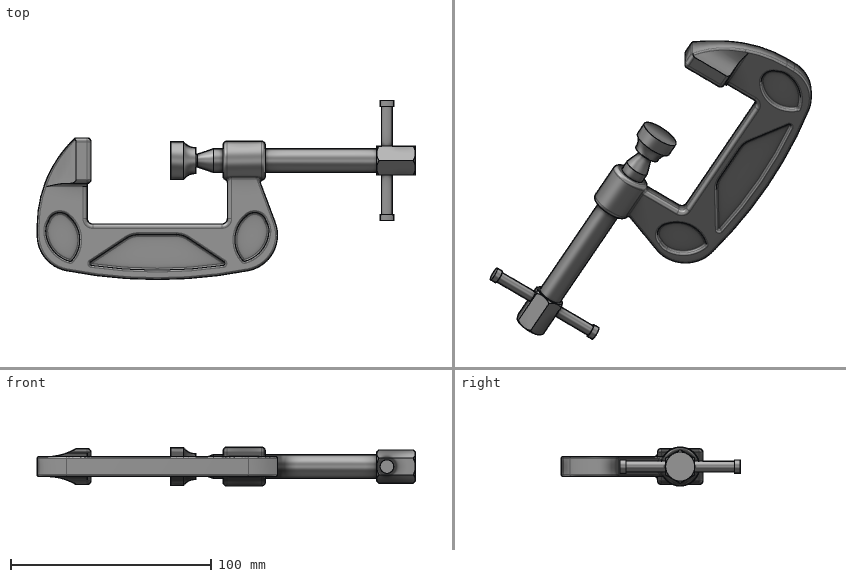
import cadquery as cq
import math


frame_width = 120.0
frame_thickness = 10.0
frame_bottom = -59.4
half_thickness = frame_thickness / 2
mid_x = frame_width / 2
throat_left = 25.1
throat_right = frame_width - throat_left
throat_bottom = -31.6
throat_corner_radius = 2.7
throat_edge_radius = 2.2
outer_edge_radius = 1.0
corner_radius = 18.1
corner_center_y = -37.2
back_radius = 60.4
back_start_y = -32.7
column_top_x = 107.3

keel_drop = corner_center_y - frame_bottom
keel_half_span = mid_x - corner_radius
keel_radius = (keel_half_span**2 + keel_drop**2 - corner_radius**2) / (2 * (keel_drop - corner_radius))
keel_center_y = frame_bottom + keel_radius
keel_half_sweep = math.asin(keel_half_span / (keel_radius - corner_radius))

jaw_face_x = 26.95
jaw_half_height = 11.4
jaw_half_depth = 9.0
jaw_edge_radius = 2.0
jaw_root_radius = 1.5
taper_start_x = 5.0
taper_end_x = 19.5

boss_start_x = 92.8
boss_end_x = 113.9
boss_diameter = 19.5
boss_edge_radius = 2.0
boss_root_radius = 1.3

pocket_depth = 2.0
pocket_edge_radius = 0.95
pocket_wall_inset = 1.0
trapezoid_top = -35.9
trapezoid_top_half = 13.0
trapezoid_slope = math.radians(33.5)
trapezoid_keel_margin = 3.7
trapezoid_shoulder_radius = 10.5
trapezoid_toe_radius = 1.0

egg_shoulder_left = (4.75, -29.9)
egg_crown = (11.5, -24.9)
egg_shoulder_right = (16.3, -26.9)
egg_right_bulge = (22.3, -39.9)
egg_toe_right = (18.2, -50.4)
egg_toe_tip = (17.4, -51.1)
egg_toe_left = (15.9, -51.2)
egg_lower_bulge = (8.9, -47.3)
egg_side = (3.3, -35.1)
egg_side_bulge = (3.7, -32.3)

screw_diameter = 12.0
screw_tip_x = 79.2
neck_end_x = 80.0
cone_end_x = 88.1
neck_diameter = 6.5
head_start_x = 169.5
head_end_x = 188.8
head_across_flats = 14.5
head_across_corners = head_across_flats / math.cos(math.pi / 6)
head_chamfer = (head_across_corners - head_across_flats) / 2

pad_face_x = 66.6
pad_rim_end_x = 73.0
pad_diameter = 19.0
pad_back_diameter = 13.0
pad_neck_x = 75.4
pad_neck_radius = 7.4

handle_x = 174.6
handle_length = 60.0
handle_diameter = 5.5
handle_cap_diameter = 6.8
handle_cap_length = 3.0

tolerance = 0.01


def polar(center_x, center_y, radius, angle):
    return (center_x + radius * math.cos(angle), center_y + radius * math.sin(angle))


def x_cylinder(diameter, start_x, end_x):
    return cq.Workplane("YZ").workplane(offset=start_x).circle(diameter / 2).extrude(end_x - start_x)


def y_cylinder(diameter, center_x, start_y, end_y):
    return (
        cq.Workplane("XZ", origin=(center_x, start_y, 0))
        .circle(diameter / 2)
        .extrude(start_y - end_y)
    )


def back_point(y):
    """Point at height y on the outer curve that rises to the jaw."""
    angle = math.pi - math.asin((y - back_start_y) / back_radius)
    return polar(back_radius, back_start_y, back_radius, angle)


def left_corner_point(angle):
    return polar(corner_radius, corner_center_y, corner_radius, angle)


def right_corner_point(angle):
    return polar(frame_width - corner_radius, corner_center_y, corner_radius, angle)


def plate():
    left_keel_angle = -math.pi / 2 - keel_half_sweep
    right_keel_angle = -math.pi / 2 + keel_half_sweep

    slope_run = column_top_x - (frame_width - corner_radius)
    slope_rise = -corner_center_y
    slope_distance = math.hypot(slope_run, slope_rise)
    slope_angle = math.atan2(slope_rise, slope_run) - math.acos(corner_radius / slope_distance)

    left_mid_angle = (left_keel_angle - math.pi) / 2
    right_mid_angle = (right_keel_angle + slope_angle) / 2

    body = (
        cq.Workplane("XY").workplane(offset=-half_thickness)
        .moveTo(0, back_start_y)
        .lineTo(0, corner_center_y)
        .threePointArc(left_corner_point(left_mid_angle), left_corner_point(left_keel_angle))
        .threePointArc((mid_x, frame_bottom), right_corner_point(right_keel_angle))
        .threePointArc(right_corner_point(right_mid_angle), right_corner_point(slope_angle))
        .lineTo(column_top_x, 0)
        .lineTo(throat_right, 0)
        .lineTo(throat_right, throat_bottom)
        .lineTo(throat_left, throat_bottom)
        .lineTo(throat_left, jaw_half_height)
        .lineTo(*back_point(jaw_half_height))
        .threePointArc(back_point((back_start_y + jaw_half_height) / 2), (0, back_start_y))
        .close()
        .extrude(frame_thickness)
    )
    throat_corners = cq.selectors.BoxSelector(
        (throat_left - tolerance, throat_bottom - tolerance, -half_thickness),
        (throat_right + tolerance, throat_bottom + tolerance, half_thickness),
    )
    return body.edges("|Z").edges(throat_corners).fillet(throat_corner_radius)


def jaw_block():
    block = (
        cq.Workplane("XY").workplane(offset=-jaw_half_depth)
        .moveTo(*back_point(-jaw_half_height))
        .lineTo(jaw_face_x, -jaw_half_height)
        .lineTo(jaw_face_x, jaw_half_height)
        .lineTo(*back_point(jaw_half_height))
        .threePointArc(back_point(0), back_point(-jaw_half_height))
        .close()
        .extrude(2 * jaw_half_depth)
    )
    return block.edges("|X or >X").fillet(jaw_edge_radius)


def jaw_root():
    """Concave fillets between the lower side of the jaw and both plate faces."""
    root_y = -jaw_half_height - jaw_root_radius
    root_z = half_thickness + jaw_root_radius
    strip = (
        cq.Workplane("YZ").workplane(offset=taper_start_x)
        .moveTo(root_y, half_thickness)
        .threePointArc(polar(root_y, root_z, jaw_root_radius, -math.pi / 4), (-jaw_half_height, root_z))
        .lineTo(-jaw_half_height, 0)
        .lineTo(root_y, 0)
        .close()
        .extrude(throat_left - taper_start_x)
    )
    return strip.union(strip.mirror("XY"))


def taper_waste():
    """Material removed outside the concave tapers that blend the jaw into the plate faces."""
    run = taper_end_x - taper_start_x
    rise = jaw_half_depth - half_thickness
    taper_radius = (run**2 + rise**2) / (2 * rise)
    half_sweep = math.atan2(rise, run)
    taper_mid = polar(taper_start_x, half_thickness + taper_radius, taper_radius, half_sweep - math.pi / 2)
    clear_x = -1.0
    clear_z = 2 * jaw_half_depth
    above = (
        cq.Workplane("XZ")
        .moveTo(clear_x, half_thickness)
        .lineTo(taper_start_x, half_thickness)
        .threePointArc(taper_mid, (taper_end_x, jaw_half_depth))
        .lineTo(taper_end_x, clear_z)
        .lineTo(clear_x, clear_z)
        .close()
        .extrude(2 * jaw_half_height, both=True)
    )
    return above.union(above.mirror("XY"))


def jaw():
    return jaw_block().union(jaw_root()).cut(taper_waste())


def round_throat(body):
    """Round the edges along the inside of the C on both faces."""
    edges = []
    for face_z in (-half_thickness, half_thickness):
        box = cq.selectors.BoxSelector(
            (throat_left - tolerance, throat_bottom - tolerance, face_z - tolerance),
            (throat_right + tolerance, 0, face_z + tolerance),
        )
        edges += body.edges(box).vals()
    return body.newObject(edges).fillet(throat_edge_radius)


def is_outline_edge(edge):
    """True for the edges that the outer curve and the sloped side make with the faces."""
    middle = edge.positionAt(0.5)
    from_back_center = math.hypot(middle.x - back_radius, middle.y - back_start_y)
    on_face = abs(middle.z) > half_thickness - tolerance
    on_back = middle.x < taper_end_x and abs(from_back_center - back_radius) < tolerance
    on_left_side = middle.x < tolerance
    below_corner_centers = middle.y < corner_center_y
    on_slope = middle.x > column_top_x and middle.y < -boss_diameter / 2
    return on_face and (on_back or on_left_side or below_corner_centers or on_slope)


def round_outline(body):
    edges = [edge for edge in body.edges().vals() if is_outline_edge(edge)]
    return body.newObject(edges).fillet(outer_edge_radius)


def blend_boss_root(body):
    """Concave fillet all round the joint between the boss and the column below it."""
    joint_top_y = -math.sqrt((boss_diameter / 2)**2 - half_thickness**2)
    box = cq.selectors.BoxSelector(
        (throat_right - tolerance, -boss_diameter / 2 - tolerance, -half_thickness - tolerance),
        (boss_end_x, joint_top_y + tolerance, half_thickness + tolerance),
    )
    return body.edges(box).fillet(boss_root_radius)


def trapezoid_pocket():
    """Centre pocket; its lower wall runs parallel to the keel."""
    lower_radius = keel_radius - trapezoid_keel_margin
    cosine = math.cos(trapezoid_slope)
    sine = math.sin(trapezoid_slope)

    top_above_center = trapezoid_top - keel_center_y
    along = trapezoid_top_half * cosine - top_above_center * sine
    beyond = lower_radius**2 - trapezoid_top_half**2 - top_above_center**2
    side_length = math.sqrt(along**2 + beyond) - along
    toe_half = trapezoid_top_half + side_length * cosine
    toe_y = trapezoid_top - side_length * sine

    pocket = (
        cq.Workplane("XY")
        .moveTo(mid_x - trapezoid_top_half, trapezoid_top)
        .lineTo(mid_x + trapezoid_top_half, trapezoid_top)
        .lineTo(mid_x + toe_half, toe_y)
        .threePointArc((mid_x, keel_center_y - lower_radius), (mid_x - toe_half, toe_y))
        .close()
        .offset2D(-pocket_wall_inset, "intersection")
        .extrude(-pocket_depth)
    )
    pocket = pocket.edges("|Z").edges(">Y").fillet(trapezoid_shoulder_radius)
    return pocket.edges("|Z").edges("<X or >X").fillet(trapezoid_toe_radius)


def egg_pocket():
    return (
        cq.Workplane("XY")
        .moveTo(*egg_shoulder_left)
        .threePointArc(egg_crown, egg_shoulder_right)
        .threePointArc(egg_right_bulge, egg_toe_right)
        .threePointArc(egg_toe_tip, egg_toe_left)
        .threePointArc(egg_lower_bulge, egg_side)
        .threePointArc(egg_side_bulge, egg_shoulder_left)
        .close()
        .offset2D(-pocket_wall_inset)
        .extrude(-pocket_depth)
    )


def cut_pockets(body):
    left_egg = egg_pocket()
    right_egg = left_egg.mirror("YZ").translate((frame_width, 0, 0))
    for pocket in (trapezoid_pocket(), left_egg, right_egg):
        tool = pocket.faces("<Z").edges().fillet(pocket_edge_radius).translate((0, 0, half_thickness))
        body = body.cut(tool).cut(tool.mirror("XY"))

    rims = []
    for face in body.faces("|Z").vals():
        if abs(abs(face.Center().z) - half_thickness) < tolerance:
            for wire in face.innerWires():
                rims += wire.Edges()
    return body.newObject(rims).fillet(pocket_edge_radius)


def frame():
    boss = x_cylinder(boss_diameter, boss_start_x, boss_end_x)
    boss = boss.faces("<X or >X").edges().fillet(boss_edge_radius)
    body = round_throat(plate().union(boss))
    body = round_outline(body.union(jaw()))
    body = blend_boss_root(body)
    body = cut_pockets(body)
    return body.cut(x_cylinder(screw_diameter, boss_start_x, boss_end_x))


def screw():
    shank = (
        cq.Workplane("XZ")
        .moveTo(screw_tip_x, 0)
        .lineTo(screw_tip_x, neck_diameter / 2)
        .lineTo(neck_end_x, neck_diameter / 2)
        .lineTo(cone_end_x, screw_diameter / 2)
        .lineTo(head_start_x, screw_diameter / 2)
        .lineTo(head_start_x, 0)
        .close()
        .revolve(360, (0, 0, 0), (1, 0, 0))
    )
    hexagon = (
        cq.Workplane("YZ").workplane(offset=head_start_x)
        .transformed(rotate=(0, 0, 30))
        .polygon(6, head_across_corners)
        .extrude(head_end_x - head_start_x)
    )
    trim = x_cylinder(head_across_corners, head_start_x, head_end_x)
    trim = trim.faces("<X or >X").edges().chamfer(head_chamfer)
    handle_hole = y_cylinder(handle_diameter, handle_x, -head_across_flats, head_across_flats)
    return shank.union(hexagon.intersect(trim)).cut(handle_hole)


def pad():
    """Disc with a hollowed neck behind its rim; its back rests on the tip of the screw."""
    return (
        cq.Workplane("XZ")
        .moveTo(pad_face_x, 0)
        .lineTo(pad_face_x, pad_diameter / 2)
        .lineTo(pad_rim_end_x, pad_diameter / 2)
        .threePointArc((pad_neck_x, pad_neck_radius), (screw_tip_x, pad_back_diameter / 2))
        .lineTo(screw_tip_x, 0)
        .close()
        .revolve(360, (0, 0, 0), (1, 0, 0))
    )


def handle():
    half_length = handle_length / 2
    cap_start_y = half_length - handle_cap_length
    rod = y_cylinder(handle_diameter, handle_x, -cap_start_y, cap_start_y)
    for side in (-1, 1):
        rod = rod.union(y_cylinder(handle_cap_diameter, handle_x, side * cap_start_y, side * half_length))
    return rod


result = cq.Compound.makeCompound([frame().val(), screw().val(), pad().val(), handle().val()])